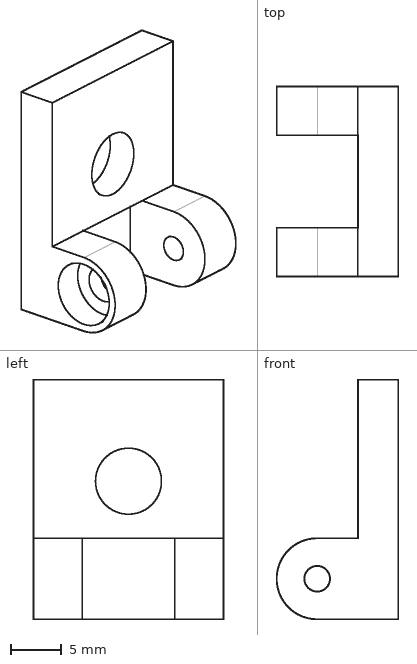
import cadquery as cq

plate_thickness = 4.0
plate_width = 18.7
plate_height = 23.6

lug_radius = 4.0
lug_width = 4.8
lug_pin_distance = 4.0

pin_hole_diameter = 2.5

screw_hole_diameter = 3.6
counterbore_diameter = 6.5
counterbore_depth = 3.0

recess_depth = 1.5

pocket_diameter = 6.5
pocket_depth = 3.0
pocket_below_top = 10.0

pin_height = lug_radius
plate_front = lug_pin_distance
pocket_height = plate_height - pocket_below_top
lug_height = 2 * lug_radius
lug_gap = plate_width - 2 * lug_width
lug_offset = (plate_width - lug_width) / 2


def make_plate():
    """Upright plate, centred on Y."""
    return (
        cq.Workplane("XY")
        .box(plate_thickness, plate_width, plate_height, centered=(False, True, False))
        .translate((plate_front, 0, 0))
    )


def make_lug(center_y):
    """Round-nosed lug reaching from the plate to beyond the pin axis."""
    return (
        cq.Workplane("XZ", origin=(0, center_y, 0))
        .moveTo(plate_front, 0)
        .lineTo(0, 0)
        .threePointArc((-lug_radius, pin_height), (0, lug_height))
        .lineTo(plate_front, lug_height)
        .close()
        .extrude(lug_width / 2, both=True)
    )


def cylinder_along_y(diameter, start_y, length):
    """Cylinder on the pin axis, reaching from start_y towards +Y."""
    return (
        cq.Workplane("XZ", origin=(0, start_y, pin_height))
        .circle(diameter / 2)
        .extrude(-length)
    )


def make_pin_holes():
    """Cutter for the pin hole in the -Y lug and the stepped screw hole in the +Y lug."""
    pin_hole = cylinder_along_y(pin_hole_diameter, -plate_width / 2, lug_width)
    screw_hole = cylinder_along_y(screw_hole_diameter, lug_gap / 2, lug_width)
    counterbore_floor = plate_width / 2 - counterbore_depth
    counterbore = cylinder_along_y(counterbore_diameter, counterbore_floor, counterbore_depth)
    return pin_hole.union(screw_hole).union(counterbore)


def make_recess():
    """Cutter for the shallow recess in the plate between the lugs."""
    return (
        cq.Workplane("XY")
        .box(recess_depth, lug_gap, lug_height, centered=(False, True, False))
        .translate((plate_front, 0, 0))
    )


def make_pocket():
    """Cutter for the blind pocket, sunk into the plate along +X."""
    return (
        cq.Workplane("YZ", origin=(plate_front, 0, pocket_height))
        .circle(pocket_diameter / 2)
        .extrude(pocket_depth)
    )


result = make_plate()
for side in (-1, 1):
    result = result.union(make_lug(side * lug_offset))
result = result.cut(make_recess()).cut(make_pin_holes()).cut(make_pocket())